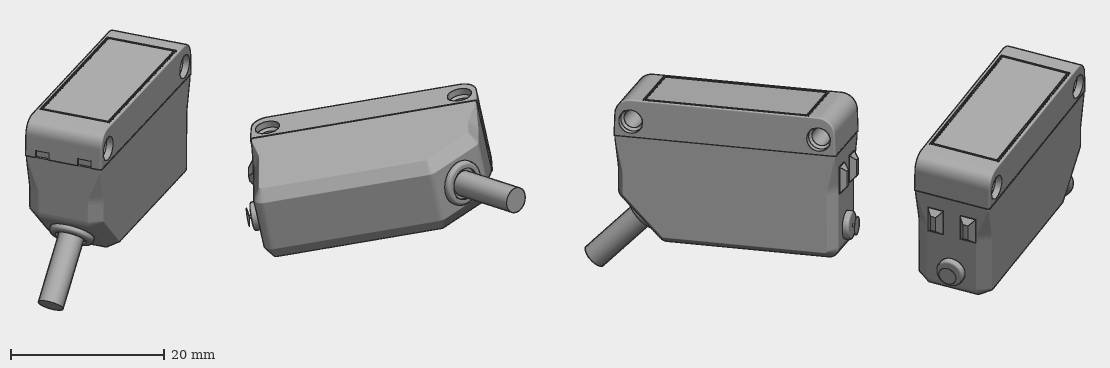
import cadquery as cq
import math

cap_width = 10.8
housing_length = 29.9
housing_height = 19.75
cap_bottom = 14.65

cap_corner_radius = 2.2
cap_flare = 0.1
cap_edge_radius = 0.22

hole_diameter = 2.5
counterbore_diameter = 3.2
counterbore_depth = 0.92
hole_inset = 2.2
hole_drop = 2.98

panel_width = 9.82
panel_length = 22.45
groove_width = 0.3
groove_depth = 0.2

window_width = 1.9
window_height = 1.03
window_depth = 0.33
window_offset = 2.98

body_top_width = 10.6
body_bottom_width = 10.37
slope_leg = 6.07
body_corner_radius = 1.4
bevel_width = 1.8
bevel_depth = 1.1
flare_start = 9.1
flare_kink = 9.65
flare_end = 14.13
thin_bevel = 0.07
body_edge_radius = 0.1

cable_diameter = 3.4
cable_reach = 5.45
collar_diameter = 5.95
collar_height = 0.8
collar_edge_radius = 0.45
collar_bore_diameter = 4.23
collar_bore_depth = 0.35

lens_width = 2.2
lens_height = 3.68
lens_pad = 0.1
lens_rise = 0.75
lens_offset = 2.3
lens_z = 10.67

dial_diameter = 3.8
dial_height = 0.9
dial_edge_radius = 0.33
dial_z = 3.42
pointer_diameter = 2.43
pointer_thickness = 0.2
pointer_reach = 1.45
stem_diameter = 0.35

mid_length = housing_length / 2


def centred_box(width, length, height, centre):
    return cq.Workplane("XY").box(width, length, height).translate(centre)


def make_cap():
    """Rounded cap with end walls that lean out slightly toward the lower rim."""
    arc_start = housing_height - cap_corner_radius
    bulge = cap_corner_radius * (1 - math.sqrt(0.5))
    cap = (
        cq.Workplane("YZ")
        .moveTo(-cap_flare, cap_bottom)
        .lineTo(0, arc_start)
        .threePointArc((bulge, housing_height - bulge), (cap_corner_radius, housing_height))
        .lineTo(housing_length - cap_corner_radius, housing_height)
        .threePointArc((housing_length - bulge, housing_height - bulge), (housing_length, arc_start))
        .lineTo(housing_length + cap_flare, cap_bottom)
        .close()
        .extrude(cap_width / 2, both=True)
    )
    return cap.faces("<X or >X").edges("not <Z").fillet(cap_edge_radius)


def cut_panel_groove(cap):
    groove = (
        cq.Workplane("XY", origin=(0, mid_length, housing_height))
        .rect(panel_width, panel_length)
        .rect(panel_width - 2 * groove_width, panel_length - 2 * groove_width)
        .extrude(-groove_depth)
    )
    return cap.cut(groove)


def cut_latch_windows(cap):
    for side in (-1, 1):
        window = centred_box(
            window_width, 2 * window_depth, window_height,
            (side * window_offset, 0, cap_bottom + window_height / 2),
        )
        cap = cap.cut(window)
    return cap


def cut_mounting_holes(cap):
    """Through holes, each with a counterbore on both sides that narrows over a 45 degree shoulder."""
    side_x = cap_width / 2
    bore_x = side_x - counterbore_depth
    hole_radius = hole_diameter / 2
    bore_radius = counterbore_diameter / 2
    hole_x = bore_x - (bore_radius - hole_radius)
    cutter = (
        cq.Workplane("XY")
        .polyline([
            (-side_x, 0), (-side_x, bore_radius), (-bore_x, bore_radius), (-hole_x, hole_radius),
            (hole_x, hole_radius), (bore_x, bore_radius), (side_x, bore_radius), (side_x, 0),
        ])
        .close()
        .revolve(360, (0, 0, 0), (1, 0, 0))
    )
    for hole_y in (hole_inset, housing_length - hole_inset):
        cap = cap.cut(cutter.translate((0, hole_y, housing_height - hole_drop)))
    return cap


def make_lower_body():
    """Part of the body with full-size bevels all round its side faces."""
    core_half_width = body_top_width / 2 - bevel_width
    core = (
        cq.Workplane("YZ")
        .polyline([
            (0, slope_leg), (slope_leg, 0), (housing_length, 0),
            (housing_length, housing_height), (0, housing_height),
        ])
        .close()
        .extrude(core_half_width, both=True)
    )
    core = core.edges("|X").fillet(body_corner_radius)
    bevel_angle = math.degrees(math.atan(bevel_depth / bevel_width))
    flank = (
        core.faces(">X").wires().toPending().workplane()
        .extrude(bevel_width, taper=bevel_angle, combine=False)
    )
    body = core.union(flank).union(flank.mirror("YZ"))
    keep = centred_box(
        cap_width, housing_length, flare_start, (0, mid_length, flare_start / 2)
    )
    return body.intersect(keep)


def make_flare_cutter(corner_x, corner_y):
    """Removes a corner bevel that is full size at the bottom and shrinks toward the cap."""
    diagonal = math.hypot(bevel_width, bevel_depth)
    cut_depth = bevel_width * bevel_depth / diagonal
    inward_x = -math.copysign(bevel_depth / diagonal, corner_x)
    inward_y = math.copysign(bevel_width / diagonal, mid_length - corner_y)
    corner_plane = cq.Plane(
        origin=(corner_x, corner_y, 0),
        xDir=(inward_x, inward_y, 0),
        normal=(inward_y, -inward_x, 0),
    )
    blend = flare_kink - flare_start
    slope_height = flare_end - flare_kink
    slope_run = cut_depth - thin_bevel
    slope_length = math.hypot(slope_run, slope_height)
    blend_end = (
        cut_depth - blend * slope_run / slope_length,
        flare_kink + blend * slope_height / slope_length,
    )
    return (
        cq.Workplane(corner_plane)
        .moveTo(-cut_depth, 0)
        .lineTo(cut_depth, 0)
        .lineTo(cut_depth, flare_start)
        .tangentArcPoint(blend_end, relative=False)
        .lineTo(thin_bevel, flare_end)
        .lineTo(thin_bevel, cap_bottom)
        .lineTo(-cut_depth, cap_bottom)
        .close()
        .extrude(2 * diagonal, both=True)
    )


def make_upper_body():
    """Part of the body where the corner bevels shrink toward the cap."""
    height = cap_bottom - flare_start
    body = centred_box(
        body_top_width, housing_length, height, (0, mid_length, flare_start + height / 2)
    )
    for corner_x in (-body_top_width / 2, body_top_width / 2):
        for corner_y in (0, housing_length):
            body = body.cut(make_flare_cutter(corner_x, corner_y))
    return body


def make_body():
    """Lower and upper parts joined, with both sides drafted toward the bottom."""
    draft_envelope = (
        cq.Workplane("XZ", origin=(0, mid_length, 0))
        .polyline([
            (-body_bottom_width / 2, 0), (body_bottom_width / 2, 0),
            (body_top_width / 2, cap_bottom), (-body_top_width / 2, cap_bottom),
        ])
        .close()
        .extrude(housing_length, both=True)
    )
    body = make_lower_body().union(make_upper_body()).intersect(draft_envelope)
    side_edges = body.faces("<X or >X").edges("not >Z").vals()
    end_edges = body.faces("<Y or >Y").edges("not |X").vals()
    return body.newObject(side_edges + end_edges).fillet(body_edge_radius)


def make_cable():
    """Cable with a bored collar, square to the 45 degree face."""
    face_middle = slope_leg / 2
    half_end = cable_diameter / 2 * math.sqrt(0.5)
    cable_length = (face_middle + cable_reach - half_end) * math.sqrt(2)
    face = cq.Workplane(
        cq.Plane(origin=(0, face_middle, face_middle), xDir=(1, 0, 0), normal=(0, -1, -1))
    )
    collar = face.circle(collar_diameter / 2).extrude(collar_height)
    collar = collar.faces("<(0,1,1)").edges().fillet(collar_edge_radius)
    bore = (
        face.workplane(offset=collar_height)
        .circle(collar_bore_diameter / 2)
        .extrude(-collar_bore_depth)
    )
    cable = face.circle(cable_diameter / 2).extrude(cable_length)
    return collar.cut(bore).union(cable)


def make_lens(centre_x):
    """Rectangular pad carrying a block with 45 degree sides."""
    base = cq.Workplane("XZ", origin=(centre_x, housing_length, lens_z)).rect(lens_width, lens_height)
    pad = base.extrude(-lens_pad)
    block = (
        cq.Workplane("XZ", origin=(centre_x, housing_length + lens_pad, lens_z))
        .rect(lens_width, lens_height)
        .extrude(-lens_rise, taper=45)
    )
    return pad.union(block)


def make_dial():
    """Round dial with a thin stem carrying a shallow cone, wide end outward."""
    end_face = cq.Workplane("XZ", origin=(0, housing_length, dial_z))
    knob = end_face.circle(dial_diameter / 2).extrude(-dial_height)
    knob = knob.faces(">Y").edges().fillet(dial_edge_radius)
    profile = [
        (0, 0),
        (stem_diameter / 2, 0),
        (stem_diameter / 2, pointer_reach - pointer_thickness),
        (pointer_diameter / 2, pointer_reach),
        (0, pointer_reach),
    ]
    pointer = (
        cq.Workplane("XY", origin=(0, housing_length, dial_z))
        .polyline(profile)
        .close()
        .revolve(360, (0, 0, 0), (0, 1, 0))
    )
    return knob.union(pointer)


cap = cut_mounting_holes(cut_latch_windows(cut_panel_groove(make_cap())))
result = cap.union(make_body()).union(make_cable()).union(make_dial())
for lens_x in (-lens_offset, lens_offset):
    result = result.union(make_lens(lens_x))